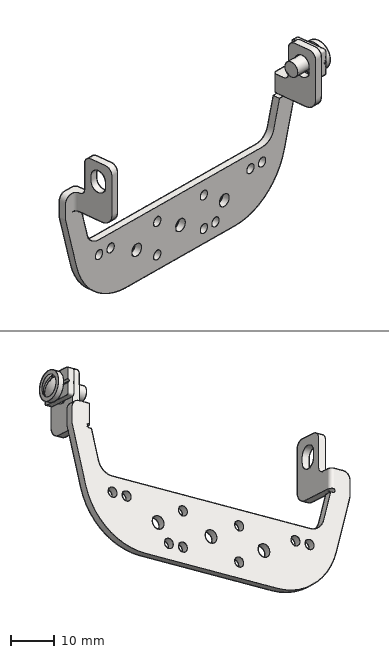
import cadquery as cq
import math

sheet = 2.0

plate_half_width = 39.5
plate_top = 33.4
elbow_z = 27.35
arm_slant = math.radians(15)
outer_radius = 17.5
window_bottom = 16.95
window_radius = 4.0
arm_tip_radius = 2.0

tab_outer_y = 36.0
tab_inner_y = tab_outer_y - sheet
tab_bottom = 28.4
tab_top = 44.0
tab_back = 13.2
tab_front = 4.7
tab_top_radius = 2.0
tab_neck_radius = 1.5
tab_back_radius = 3.0
bend_radius = 1.0
relief_depth = 1.2

axis_x = (tab_front + tab_back) / 2
axis_z = 39.5
slot_width = 4.4
slot_travel = 1.4

small_hole = 2.5
large_hole = 3.3
upper_row_z = 12.95
middle_row_z = 8.5
lower_row_z = 4.0
small_hole_places = [(y, upper_row_z) for y in (-28.0, -24.0, -8.0, 8.0, 24.0, 28.0)]
small_hole_places += [(y, lower_row_z) for y in (-8.0, 8.0, 12.0)]
large_hole_places = [(y, middle_row_z) for y in (-15.0, 0, 15.0)]

washer_near_y = 36.3
washer_far_y = 37.9
washer_front = 3.75
washer_back = 12.8
washer_height = 6.95
washer_corner_radius = 0.55
bead_width = 0.7
bead_end_gap = 0.3
groove_width = 0.95
groove_depth = 0.4
bead_height = washer_near_y - tab_outer_y

shank_diameter = 4.0
shank_end_y = 30.3
head_seat_y = 38.15
head_radius = 3.75
head_height = 1.4
crown_radius = 2.7
total_width = 79.95
crown_height = total_width - plate_half_width - head_seat_y - head_height
driver_slot_width = 0.7
driver_slot_angle = 45


def on_yz(x=0.0):
    """Sketch plane at the given X, with local x along Y and local y along Z, extruding toward +X."""
    return cq.Workplane("YZ", origin=(x, 0, 0))


def on_xz(y):
    """Sketch plane at the given Y, with local x along X and local y along Z, extruding toward -Y."""
    return cq.Workplane("XZ", origin=(0, y, 0))


def plate():
    """U-shaped plate with rounded corners."""
    slant = math.tan(arm_slant)
    foot_y = plate_half_width - elbow_z * slant
    inner_foot_y = tab_inner_y - (elbow_z - window_bottom) * slant
    right_side = [
        (foot_y, 0),
        (plate_half_width, elbow_z),
        (plate_half_width, plate_top),
        (tab_inner_y, plate_top),
        (tab_inner_y, elbow_z),
        (inner_foot_y, window_bottom),
    ]
    left_side = [(-y, z) for y, z in reversed(right_side)]
    body = on_yz().polyline(right_side + left_side).close().extrude(sheet)

    def round_corners(body, y, z, radius):
        for side in (1, -1):
            body = body.edges(cq.selectors.NearestToPointSelector((sheet / 2, side * y, z))).fillet(radius)
        return body

    body = round_corners(body, foot_y, 0, outer_radius)
    body = round_corners(body, plate_half_width, plate_top, arm_tip_radius)
    return round_corners(body, inner_foot_y, window_bottom, window_radius)


def tab(side):
    """Tab on one arm; side is +1 for the +Y arm and -1 for the -Y arm."""
    profile = (
        on_xz(tab_outer_y)
        .moveTo(0, tab_bottom)
        .lineTo(tab_back - tab_back_radius, tab_bottom)
        .radiusArc((tab_back, tab_bottom + tab_back_radius), -tab_back_radius)
        .lineTo(tab_back, tab_top - tab_top_radius)
        .radiusArc((tab_back - tab_top_radius, tab_top), -tab_top_radius)
        .lineTo(tab_front + tab_top_radius, tab_top)
        .radiusArc((tab_front, tab_top - tab_top_radius), -tab_top_radius)
        .lineTo(tab_front, plate_top + tab_neck_radius)
        .radiusArc((tab_front - tab_neck_radius, plate_top), tab_neck_radius)
        .lineTo(0, plate_top)
        .close()
    )
    hole = (
        on_xz(tab_outer_y)
        .center(axis_x, axis_z - slot_travel / 2)
        .slot2D(slot_width + slot_travel, slot_width, 90)
        .extrude(sheet)
    )
    body = profile.extrude(sheet).cut(hole)
    return body if side > 0 else body.mirror("XZ")


def bend_relief(side):
    """Round-ended notch between the elbow and the tab of one arm."""
    width = tab_bottom - elbow_z
    length = 2 * relief_depth
    return (
        on_yz()
        .center(side * tab_inner_y, elbow_z + width / 2)
        .slot2D(length, width)
        .extrude(sheet)
    )


def bracket():
    body = plate().union(tab(1)).union(tab(-1))
    mid_z = (tab_bottom + plate_top) / 2
    for side in (1, -1):
        body = body.cut(bend_relief(side))
        for corner in ((0, side * tab_inner_y, mid_z), (sheet, side * tab_outer_y, mid_z)):
            body = body.edges(cq.selectors.NearestToPointSelector(corner)).fillet(bend_radius)
    small = on_yz().pushPoints(small_hole_places).circle(small_hole / 2).extrude(sheet)
    large = on_yz().pushPoints(large_hole_places).circle(large_hole / 2).extrude(sheet)
    return body.cut(small).cut(large)


def v_bar(base_y, width, depth, end_gap):
    """V-shaped bar along X on the screw axis, pointing toward -Y from the plane y = base_y."""
    return (
        on_yz(washer_front + end_gap)
        .polyline([
            (base_y, axis_z - width / 2),
            (base_y, axis_z + width / 2),
            (base_y - depth, axis_z),
        ])
        .close()
        .extrude(washer_back - washer_front - 2 * end_gap)
    )


def washer():
    """Rectangular washer resting on a V bead, with a V groove on the side facing the head."""
    block = (
        on_xz(washer_far_y)
        .center((washer_front + washer_back) / 2, axis_z)
        .rect(washer_back - washer_front, washer_height)
        .extrude(washer_far_y - washer_near_y)
        .edges("|Y")
        .fillet(washer_corner_radius)
    )
    hole = on_xz(washer_far_y).center(axis_x, axis_z).circle(slot_width / 2).extrude(sheet)
    bead = v_bar(washer_near_y, bead_width, bead_height, bead_end_gap)
    groove = v_bar(washer_far_y, groove_width, groove_depth, 0)
    return block.union(bead).cut(groove).cut(hole)


def screw():
    """Pan head with a domed, slotted crown on a plain shank."""
    head_top = head_seat_y + head_height
    lip_radius = driver_slot_width / 2
    centre_drop = (crown_radius**2 - lip_radius**2 - crown_height**2) / (2 * crown_height)
    dome_radius = math.hypot(crown_radius, centre_drop)
    dome_tip = head_top + dome_radius - centre_drop
    shank_radius = shank_diameter / 2
    body = (
        cq.Workplane("XY")
        .moveTo(0, shank_end_y)
        .lineTo(shank_radius, shank_end_y)
        .lineTo(shank_radius, head_seat_y)
        .lineTo(head_radius, head_seat_y)
        .lineTo(head_radius, head_top)
        .lineTo(crown_radius, head_top)
        .radiusArc((0, dome_tip), -dome_radius)
        .close()
        .revolve(360, (0, 0, 0), (0, 1, 0))
        .translate((axis_x, 0, axis_z))
    )
    driver_slot = (
        on_xz(dome_tip)
        .center(axis_x, axis_z)
        .transformed(rotate=(0, 0, -driver_slot_angle))
        .rect(2 * crown_radius, driver_slot_width)
        .extrude(dome_tip - head_top)
    )
    return body.cut(driver_slot)


result = cq.Compound.makeCompound([bracket().val(), washer().val(), screw().val()])